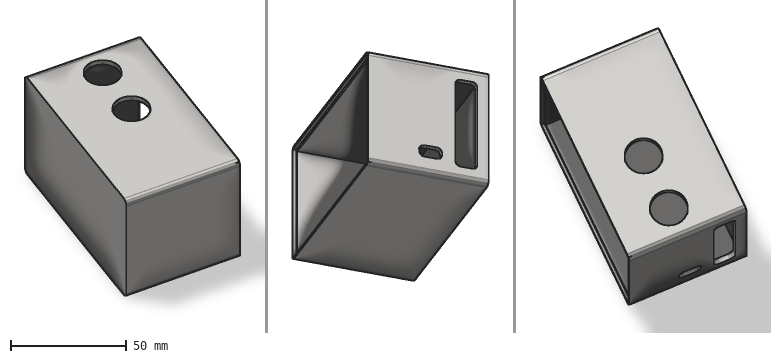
import cadquery as cq

length = 94.0
depth = 55.9
height = 55.9
edge_radius = 2.5
wall = 2.5

rim_step = 1.5

hole_diameter = 16.5
hole_y = 2.5
first_hole_x = -32.4
hole_spacing = 26.7

slot_width = 10.2
slot_height = 43.1
slot_y = -17.5
slot_z = 0.0
slot_corner_radius = 2.5

port_width = 10.6
port_height = 5.7
port_y = -0.9
port_z = -17.0
port_corner_radius = 2.5


def make_shell():
    """Box rounded along its Y edges, hollow and open on the +Y side with a stepped rim."""
    box = cq.Workplane("XY").box(length, depth, height).edges("|Y").fillet(edge_radius)
    cavity = (
        cq.Workplane("XY")
        .box(length - 2 * wall, depth, height - 2 * wall)
        .translate((0, wall, 0))
    )
    rim_recess = (
        cq.Workplane("XY")
        .box(length - 2 * (wall - rim_step), rim_step, height - 2 * (wall - rim_step))
        .translate((0, (depth - rim_step) / 2, 0))
    )
    return box.cut(cavity).cut(rim_recess)


def left_wall_cutter(width, tall, corner_radius, y, z):
    """Rounded rectangular block that passes through the left wall only."""
    cutter = cq.Workplane("XY").box(2 * wall, width, tall).edges("|X").fillet(corner_radius)
    return cutter.translate((-length / 2, y, z))


def top_hole_cutter(x):
    """Cylinder that passes through the top wall only."""
    return (
        cq.Workplane("XY", origin=(x, hole_y, height / 2 - wall))
        .circle(hole_diameter / 2)
        .extrude(wall)
    )


result = make_shell()
for hole_x in (first_hole_x, first_hole_x + hole_spacing):
    result = result.cut(top_hole_cutter(hole_x))
result = result.cut(left_wall_cutter(slot_width, slot_height, slot_corner_radius, slot_y, slot_z))
result = result.cut(left_wall_cutter(port_width, port_height, port_corner_radius, port_y, port_z))